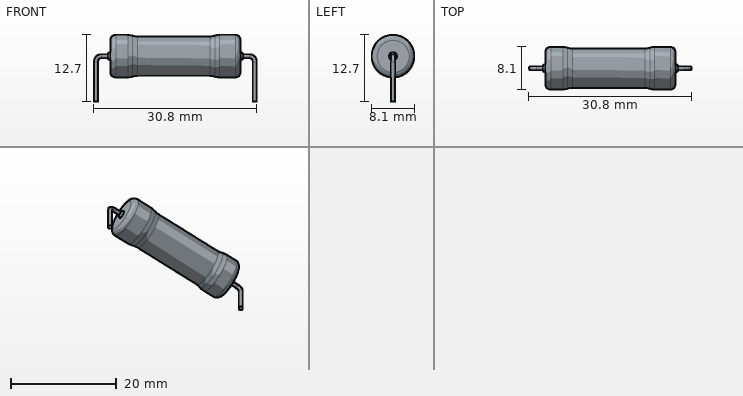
import cadquery as cq

overall_length = 30.8
overall_height = 12.65

body_length = 24.6
end_diameter = 8.1
waist_diameter = 7.48
edge_radius = 1.02
left_end_length = 3.25
right_end_length = 4.0
shoulder_length = 1.85

lead_diameter = 0.8
bend_radius = 1.02

bead_diameter = 1.55
bead_length = 0.5
bead_bulge = 0.1

half_body = body_length / 2
end_radius = end_diameter / 2
waist_radius = waist_diameter / 2
lead_radius = lead_diameter / 2
bead_radius = bead_diameter / 2
lead_drop = overall_height - end_radius

X_AXIS_START = (0, 0, 0)
X_AXIS_END = (1, 0, 0)


def revolve_about_x(profile):
    """Turn a closed XY profile once around the X axis."""
    return profile.revolve(360, X_AXIS_START, X_AXIS_END)


def make_body():
    """Turned body with two wide, rounded ends and a narrower waist."""
    left_outer = left_end_length - half_body
    left_middle = left_outer + shoulder_length / 2
    left_inner = left_outer + shoulder_length
    right_outer = half_body - right_end_length
    right_middle = right_outer - shoulder_length / 2
    right_inner = right_outer - shoulder_length
    middle_radius = (end_radius + waist_radius) / 2
    rounding_start = half_body - edge_radius

    profile = (
        cq.Workplane("XY")
        .moveTo(-half_body, 0)
        .lineTo(-half_body, end_radius - edge_radius)
        .radiusArc((-rounding_start, end_radius), edge_radius)
        .lineTo(left_outer, end_radius)
        .tangentArcPoint((left_middle, middle_radius), relative=False)
        .tangentArcPoint((left_inner, waist_radius), relative=False)
        .lineTo(right_inner, waist_radius)
        .tangentArcPoint((right_middle, middle_radius), relative=False)
        .tangentArcPoint((right_outer, end_radius), relative=False)
        .lineTo(rounding_start, end_radius)
        .radiusArc((half_body, end_radius - edge_radius), edge_radius)
        .lineTo(half_body, 0)
        .close()
    )
    return revolve_about_x(profile)


def make_bead(side):
    """Ring with a bowed flank around one lead; side is -1 or +1 along X."""
    base_x = side * half_body
    tip_x = side * (half_body + bead_length)
    profile = (
        cq.Workplane("XY")
        .moveTo(base_x, lead_radius)
        .lineTo(base_x, bead_radius)
        .sagittaArc((tip_x, lead_radius), side * bead_bulge)
        .close()
    )
    return revolve_about_x(profile)


def make_lead(side):
    """Round wire from the end face outward, bent down to its tip."""
    wire_x = overall_length / 2 - lead_radius
    path = (
        cq.Workplane("XZ")
        .moveTo(side * half_body, 0)
        .lineTo(side * (wire_x - bend_radius), 0)
        .tangentArcPoint((side * wire_x, -bend_radius), relative=False)
        .lineTo(side * wire_x, -lead_drop)
    )
    section = cq.Workplane("YZ", origin=(side * half_body, 0, 0)).circle(lead_radius)
    return section.sweep(path)


body = make_body()
beads = [make_bead(side) for side in (-1, 1)]
leads = [make_lead(side) for side in (-1, 1)]

result = cq.Compound.makeCompound(
    [body.val()] + [bead.val() for bead in beads] + [lead.val() for lead in leads]
)